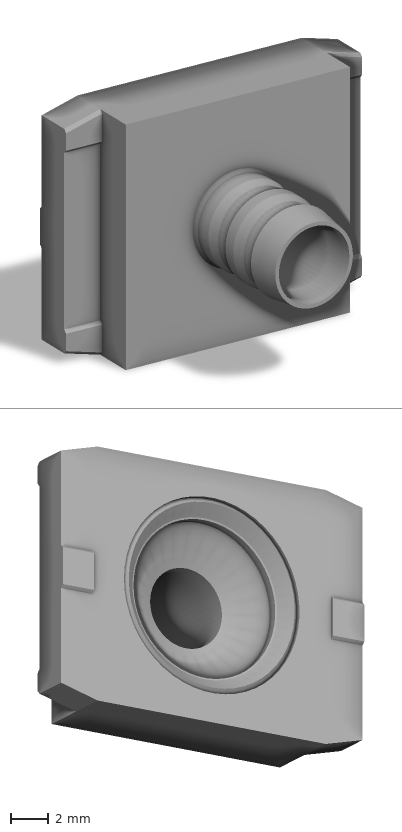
import cadquery as cq


block_half = 7.154
block_depth = 4.72
ear_tip_y = 9.45
ear_tip_z = 6.54
ear_depth = 2.21
pad_height = 0.19
waist_half = 5.15

tab_height = 0.19
tab_length = 1.97
tab_half_base = 1.21
tab_half_top = 1.04

seat_radius = 5.5
seat_depth = 3.02
shank_radius = 2.74
collar_radius = 2.87
collar_length = 0.3

rim_radius = 5.2
rim_bevel = seat_radius - rim_radius
socket_mouth_radius = 4.54
socket_mouth_depth = 0.72
socket_radius = 4.45
socket_wall_start = 0.75
socket_wall_end = 1.32
bore_radius = 2.25
bore_start = 2.65

groove_radius = 2.57
first_ridge_end = 6.05
first_groove_start = 6.77
second_ridge_start = 7.71
second_ridge_end = 8.49
second_groove_start = 9.28
tip_start = 10.22
tip_end = 12.2
tip_radius = 2.48


def prism_along_y(profile, y_start, length):
    """Extrude an (X, Z) outline toward +Y from y_start."""
    plane = cq.Plane(origin=(0, y_start, 0), xDir=(1, 0, 0), normal=(0, -1, 0))
    return cq.Workplane(plane).polyline(profile).close().extrude(-length)


def revolve_about_x(profile):
    """Turn an (X, radius) outline around the X axis."""
    return cq.Workplane("XY").polyline(profile).close().revolve(360, (0, 0, 0), (1, 0, 0))


def make_ears():
    """Plate with tapered ends, bevelled pads at its corners and a waist between them."""
    full_depth = ear_depth + pad_height
    outline = [
        (ear_tip_y, -ear_tip_z),
        (ear_tip_y, ear_tip_z),
        (block_half, block_half),
        (-block_half, block_half),
        (-ear_tip_y, ear_tip_z),
        (-ear_tip_y, -ear_tip_z),
        (-block_half, -block_half),
        (block_half, -block_half),
    ]
    ears = cq.Workplane("YZ").polyline(outline).close().extrude(full_depth)
    middle_y = (ear_tip_y + block_half) / 2
    middle_z = (ear_tip_z + block_half) / 2
    for side_y in (-1, 1):
        for side_z in (-1, 1):
            taper_edge = cq.selectors.NearestToPointSelector(
                (full_depth, side_y * middle_y, side_z * middle_z)
            )
            ears = ears.edges(taper_edge).chamfer(pad_height)
    waist = [
        (ear_depth, -waist_half),
        (full_depth, -waist_half - pad_height),
        (full_depth, waist_half + pad_height),
        (ear_depth, waist_half),
    ]
    return ears.cut(prism_along_y(waist, -ear_tip_y, 2 * ear_tip_y))


def make_tab(y_start):
    """Bevelled locating tab standing on the front face."""
    profile = [
        (0, -tab_half_base),
        (-tab_height, -tab_half_top),
        (-tab_height, tab_half_top),
        (0, tab_half_base),
    ]
    return prism_along_y(profile, y_start, tab_length)


def make_housing():
    """Block with ears, tabs, rear collar and a stepped hole for the fitting."""
    block_side = 2 * block_half
    housing = cq.Workplane("YZ").rect(block_side, block_side).extrude(block_depth)
    housing = housing.union(make_ears())
    for y_start in (-ear_tip_y, ear_tip_y - tab_length):
        housing = housing.union(make_tab(y_start))

    collar_end = block_depth + collar_length
    collar = revolve_about_x([
        (seat_depth, 0),
        (seat_depth, collar_radius),
        (block_depth, collar_radius),
        (collar_end, shank_radius),
        (collar_end, 0),
    ])
    seat = cq.Workplane("YZ").circle(seat_radius).extrude(seat_depth)
    shank_hole = cq.Workplane("YZ").circle(shank_radius).extrude(collar_end)
    return housing.union(collar).cut(seat).cut(shank_hole)


def make_fitting():
    """Flanged hose barb with a funnel-shaped socket and a through bore."""
    return revolve_about_x([
        (0, rim_radius),
        (rim_bevel, seat_radius),
        (seat_depth, seat_radius),
        (seat_depth, shank_radius),
        (first_ridge_end, shank_radius),
        (first_groove_start, groove_radius),
        (second_ridge_start, groove_radius),
        (second_ridge_start, shank_radius),
        (second_ridge_end, shank_radius),
        (second_groove_start, groove_radius),
        (tip_start, groove_radius),
        (tip_start, shank_radius),
        (tip_end, tip_radius),
        (tip_end, bore_radius),
        (bore_start, bore_radius),
        (socket_wall_end, socket_radius),
        (socket_wall_start, socket_radius),
        (socket_mouth_depth, socket_mouth_radius),
    ])


housing = make_housing()
fitting = make_fitting()
result = cq.Compound.makeCompound([housing.solids().val(), fitting.val()])